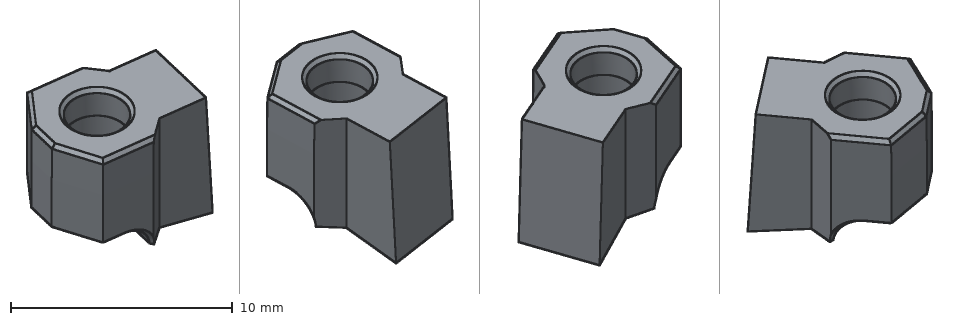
import cadquery as cq
import math


half_width = 3.04
shank_half_width = 2.0
shoulder_front_y = 1.01
shoulder_back_y = shoulder_front_y + half_width - shank_half_width
flank_angle = math.radians(30)
side_corner_y = -half_width * math.tan(flank_angle)

height = 7.0
length = 8.0
back_y = length - half_width
back_lean = math.radians(3)
underside_slope = math.radians(10)
head_bottom_z = -5.0
bevel = 0.2

draft_start_z = -2.0
draft_angle = math.radians(0.7)

relief_radius = 1.44
relief_center_y = -0.5
relief_center_z = head_bottom_z - relief_radius

hole_radius = 3.0 / 2
recess_radius = 2.0
recess_top_z = -1.54

margin = 1.6


def body_outline(inset, z):
    """Closed outline of head and shank at height z, with the drafted faces moved in by inset."""
    apothem = half_width - inset
    corner_x = apothem * math.tan(flank_angle / 2)
    left_y = (half_width * math.sin(flank_angle) - apothem) / math.cos(flank_angle)
    right_y = -apothem * math.tan(flank_angle)
    return cq.Workplane("XY", origin=(0, 0, z)).polyline([
        (-half_width, shoulder_front_y),
        (-half_width, left_y),
        (-corner_x, -apothem),
        (corner_x, -apothem),
        (apothem, right_y),
        (apothem, shoulder_front_y + inset),
        (shank_half_width, shoulder_back_y),
        (shank_half_width, back_y),
        (-shank_half_width, back_y),
        (-shank_half_width, shoulder_back_y),
    ]).close()


def make_blank():
    """Full outline, drafted near the top, cut to the leaning back and sloping underside."""
    lower = body_outline(0, -height).extrude(height + draft_start_z)
    top_inset = -draft_start_z * math.tan(draft_angle)
    lower_wire = body_outline(0, draft_start_z).wire().val()
    upper_wire = body_outline(top_inset, 0).wire().val()
    upper = cq.Workplane(cq.Solid.makeLoft([lower_wire, upper_wire], True))
    back_top_y = back_y - height * math.tan(back_lean)
    underside_front_z = -height + length * math.tan(underside_slope)
    side_profile = (
        cq.Workplane("YZ", origin=(-half_width, 0, 0))
        .polyline([
            (-half_width, 0),
            (back_top_y, 0),
            (back_y, -height),
            (-half_width, underside_front_z),
        ])
        .close()
        .extrude(2 * half_width)
    )
    return lower.union(upper).intersect(side_profile)


def relief_profile(offset, x):
    """Wire of the relief in the YZ plane at x, grown outward by offset."""
    radius = relief_radius + offset
    front_y = -half_width - margin
    bottom_z = -height - margin
    return (
        cq.Workplane("YZ", origin=(x, 0, 0))
        .moveTo(front_y, relief_center_z + radius)
        .lineTo(relief_center_y, relief_center_z + radius)
        .radiusArc((relief_center_y + radius, relief_center_z), radius)
        .lineTo(relief_center_y + radius, bottom_z)
        .lineTo(front_y, bottom_z)
        .close()
    )


def cut_relief(body):
    """Relief across the full width below the head."""
    return body.cut(relief_profile(0, -half_width).extrude(2 * half_width))


def flare_relief_sides(body):
    """Bevel the relief where it breaks through both sides of the head."""
    for side in (-1, 1):
        outer = relief_profile(bevel, side * half_width).wire().val()
        inner = relief_profile(0, side * (half_width - bevel)).wire().val()
        body = body.cut(cq.Workplane(cq.Solid.makeLoft([outer, inner], True)))
    return body


def bevel_outline(body, z, rear_limit_y):
    """Bevel the head outline edges at height z that are centered in front of rear_limit_y."""
    head_box = cq.selectors.BoxSelector(
        (-half_width - margin, -half_width - margin, z - bevel / 2),
        (half_width + margin, rear_limit_y, z + bevel / 2),
    )
    return body.edges(head_box).chamfer(bevel)


def cut_bore(body):
    """Through hole with a beveled mouth and a wider recess from below."""
    hole = cq.Workplane("XY", origin=(0, 0, -height)).circle(hole_radius).extrude(height)
    recess = (
        cq.Workplane("XY", origin=(0, 0, -height))
        .circle(recess_radius)
        .extrude(height + recess_top_z)
    )
    mouth = cq.Workplane(cq.Solid.makeCone(
        hole_radius, hole_radius + bevel, bevel, pnt=cq.Vector(0, 0, -bevel)
    ))
    return body.cut(hole).cut(recess).cut(mouth)


body = bevel_outline(make_blank(), 0, shoulder_front_y)
body = cut_relief(body)
body = bevel_outline(body, head_bottom_z, side_corner_y)
body = flare_relief_sides(body)
result = cut_bore(body)